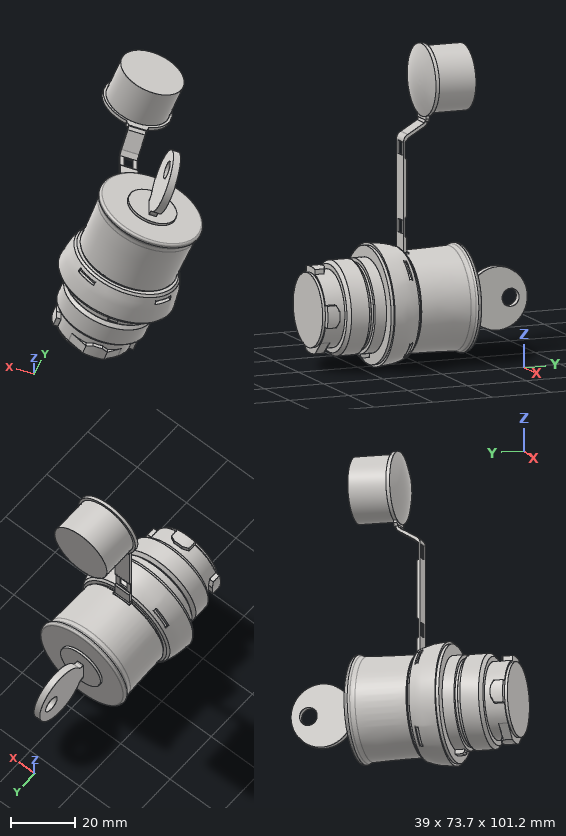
import cadquery as cq
import math


overall_height = 101.2

disk_end = 0.9
nose_end = 7.3
ring_end = 15.6
groove_end = 16.4
collar_end = 20.2
rim_end = 21.2
bezel_end = 31.0
relief_end = 31.7
barrel_end = 48.1
neck_end = 49.8
lip_start = 50.5
lip_end = 51.7
plate_end = 52.5

disk_radius = 11.8
nose_radius = 12.3
ring_radius = 15.1
ring_chamfer = 1.1
groove_radius = 13.9
rim_radius = 18.7
bezel_radius = 19.5
bezel_back_radius = 17.7
bezel_back_chamfer = 0.7
relief_radius = 15.7
barrel_front_radius = 16.2
barrel_mid_radius = 16.3
barrel_back_radius = 16.6
neck_curve = 5.1
neck_radius = 16.9
lip_radius = 17.3
lip_fillet = 0.7
plate_radius = 8.1

lug_radius = 13.9
lug_half_width = 3.5
lug_tip_half_width = 1.6
lug_shoulder = 3.9
lug_end = 5.0

locator_width = 2.8
locator_front = 17.2
locator_depth = 16.4
locator_chamfer = 0.6

notch_length = 7.1
notch_width = 1.1
notch_center = 28.5
notch_floor = 17.2
notch_height = 3.0

key_thickness = 2.4
key_drop = 1.1
key_bow_radius = 10.1
key_tip = 73.7
key_bow_center = key_tip - key_bow_radius
key_hole_radius = 2.8
key_hole_center = 68.1
key_neck_half_width = 3.6
key_neck_end = 54.0
key_flank_angle = 42
key_neck_fillet = 2.0

cap_radius = 11.5
cap_height = overall_height - bezel_radius - cap_radius
cap_plug_radius = 10.6
cap_back = 52.4
flange_back = 39.7
flange_front = 38.4
dome_tip = 35.9

strap_width = 5.9
strap_front = 31.2
strap_back = relief_end
strap_bend_low = 51.4
strap_bend_high = 53.7
strap_bend_bulge = 0.3
slope_front_low = 32.6
slope_front_high = 38.1
slope_top = 56.9
slope_thickness = 1.1
hook_top = 57.9
flare_width = 7.2
flare_bottom = 56.7
flare_cut_off = 57.3
flare_top = 58.3
window_width = 2.8
window_height = 4.1
window_bottoms = (22.2, 47.0)
pad_back = 32.3
pad_chamfer = 0.5
pad_spans = ((0, 21.4), (27.2, 46.3))
foot_width = 6.7
foot_back = 32.8
foot_top = 16.3


def turned(outline):
    """Revolve an outline of (radius, y) about the Y axis."""
    return outline.close().revolve(360, (0, 0, 0), (0, 1, 0))


def block(width, y_start, y_stop, z_start, z_stop):
    """Box centred on x = 0."""
    return cq.Workplane("XY").box(width, y_stop - y_start, z_stop - z_start).translate(
        (0, (y_start + y_stop) / 2, (z_start + z_stop) / 2)
    )


def switch_body():
    """Turned body: nose, ring, groove, collar, bezel, waisted barrel, lip and key plate."""
    ring_edge = ring_radius - ring_chamfer
    bezel_arc_end = bezel_end - bezel_back_chamfer
    bezel_drop = bezel_radius - bezel_back_radius
    bezel_curve = ((bezel_arc_end - rim_end) ** 2 + bezel_drop**2) / (2 * bezel_drop)
    outline = (
        cq.Workplane("XY")
        .moveTo(0, 0)
        .lineTo(disk_radius, 0)
        .lineTo(disk_radius, disk_end)
        .lineTo(nose_radius, disk_end)
        .lineTo(nose_radius, nose_end)
        .lineTo(ring_edge, nose_end)
        .lineTo(ring_radius, nose_end + ring_chamfer)
        .lineTo(ring_radius, ring_end - ring_chamfer)
        .lineTo(ring_edge, ring_end)
        .lineTo(groove_radius, ring_end)
        .lineTo(groove_radius, groove_end)
        .lineTo(ring_radius, groove_end)
        .lineTo(ring_radius, collar_end)
        .lineTo(rim_radius, collar_end)
        .lineTo(rim_radius, rim_end)
        .lineTo(bezel_radius, rim_end)
        .radiusArc((bezel_back_radius, bezel_arc_end), -bezel_curve)
        .lineTo(bezel_back_radius - bezel_back_chamfer, bezel_end)
        .lineTo(relief_radius, bezel_end)
        .lineTo(relief_radius, relief_end)
        .lineTo(barrel_front_radius, relief_end)
        .threePointArc(
            (barrel_mid_radius, (relief_end + barrel_end) / 2),
            (barrel_back_radius, barrel_end),
        )
        .radiusArc((neck_radius, neck_end), neck_curve)
        .lineTo(lip_radius, lip_start)
        .lineTo(lip_radius, lip_end - lip_fillet)
        .radiusArc((lip_radius - lip_fillet, lip_end), -lip_fillet)
        .lineTo(plate_radius, lip_end)
        .lineTo(plate_radius, plate_end)
        .lineTo(0, plate_end)
    )
    return turned(outline)


def bayonet_lugs():
    """Four equal lugs with tapered backs, a quarter turn apart."""
    tapered = (
        cq.Workplane("XY")
        .polyline(
            [
                (-lug_half_width, disk_end),
                (lug_half_width, disk_end),
                (lug_half_width, lug_shoulder),
                (lug_tip_half_width, lug_end),
                (-lug_tip_half_width, lug_end),
                (-lug_half_width, lug_shoulder),
            ]
        )
        .close()
        .extrude(bezel_radius)
    )
    envelope = cq.Workplane("XZ").circle(lug_radius).extrude(-lug_end)
    lug = tapered.intersect(envelope)
    lugs = lug
    for angle in (90, 180, 270):
        lugs = lugs.union(lug.rotate((0, 0, 0), (0, 1, 0), angle))
    return lugs


def bottom_wedge():
    """Web whose flanks run tangent from the nose to the corners of the bottom lug."""
    corner_angle = math.asin(lug_half_width / lug_radius)
    tangent_angle = corner_angle + math.acos(nose_radius / lug_radius)
    corner_z = -lug_radius * math.cos(corner_angle)
    tangent_x = nose_radius * math.sin(tangent_angle)
    tangent_z = -nose_radius * math.cos(tangent_angle)
    return (
        cq.Workplane("XZ", origin=(0, disk_end, 0))
        .polyline(
            [
                (0, 0),
                (tangent_x, tangent_z),
                (lug_half_width, corner_z),
                (-lug_half_width, corner_z),
                (-tangent_x, tangent_z),
            ]
        )
        .close()
        .extrude(disk_end - lug_shoulder)
    )


def locator():
    """Small block under the collar with its lower front edge chamfered."""
    tongue = block(locator_width, locator_front, collar_end, -locator_depth, 0)
    return tongue.faces("<Y").edges("<Z").chamfer(locator_chamfer)


def bezel_notches():
    """Four short tangential slots midway between the upright and level axes."""
    notch = block(
        notch_length,
        notch_center - notch_width / 2,
        notch_center + notch_width / 2,
        notch_floor,
        notch_floor + notch_height,
    )
    notches = cq.Workplane("XY")
    for angle in (45, 135, 225, 315):
        notches = notches.add(notch.rotate((0, 0, 0), (0, 1, 0), angle))
    return notches.combine()


def key():
    """Flat key: round bow with a hole, straight flanks and a narrow neck."""
    flank_y = key_bow_center - key_bow_radius * math.cos(math.radians(key_flank_angle))
    flank_z = key_bow_radius * math.sin(math.radians(key_flank_angle))
    side = cq.Workplane("YZ", origin=(-key_thickness / 2, 0, -key_drop))
    bow = side.center(key_bow_center, 0).circle(key_bow_radius).extrude(key_thickness)
    neck = (
        side.polyline(
            [
                (lip_end, -key_neck_half_width),
                (key_neck_end, -key_neck_half_width),
                (flank_y, -flank_z),
                (key_bow_center, 0),
                (flank_y, flank_z),
                (key_neck_end, key_neck_half_width),
                (lip_end, key_neck_half_width),
            ]
        )
        .close()
        .extrude(key_thickness)
    )
    for corner_z in (-key_drop - key_neck_half_width, -key_drop + key_neck_half_width):
        corner = cq.selectors.NearestToPointSelector((0, key_neck_end, corner_z))
        neck = neck.edges("|X").edges(corner).fillet(key_neck_fillet)
    hole = side.center(key_hole_center, 0).circle(key_hole_radius).extrude(key_thickness)
    return bow.union(neck).cut(hole)


def dust_cap():
    """Round plug with a thin flange and a domed front."""
    dome_rise = flange_front - dome_tip
    dome_curve = (cap_radius**2 + dome_rise**2) / (2 * dome_rise)
    outline = (
        cq.Workplane("XY")
        .moveTo(0, cap_back)
        .lineTo(cap_plug_radius, cap_back)
        .lineTo(cap_plug_radius, flange_back)
        .lineTo(cap_radius, flange_back)
        .lineTo(cap_radius, flange_front)
        .radiusArc((0, dome_tip), dome_curve)
    )
    return turned(outline).translate((0, 0, cap_height))


def strap_band():
    """Thin upright band that slopes back at the top and thickens up to the cap flange."""
    slope_angle = math.atan2(slope_top - strap_bend_high, slope_front_high - slope_front_low)
    back_y = slope_thickness * math.sin(slope_angle)
    back_z = slope_thickness * math.cos(slope_angle)
    bend_y = (strap_front + slope_front_low) / 2
    bend_z = (strap_bend_low + strap_bend_high) / 2
    return (
        cq.Workplane("YZ", origin=(-strap_width / 2, 0, 0))
        .moveTo(strap_front, 0)
        .lineTo(strap_front, strap_bend_low)
        .threePointArc(
            (bend_y - strap_bend_bulge, bend_z + strap_bend_bulge),
            (slope_front_low, strap_bend_high),
        )
        .lineTo(slope_front_high, slope_top)
        .lineTo(flange_front, hook_top)
        .lineTo(flange_front, cap_height)
        .lineTo(flange_back, cap_height)
        .lineTo(flange_back, hook_top)
        .lineTo(slope_front_high + back_y, slope_top - back_z)
        .lineTo(slope_front_low + back_y, strap_bend_high - back_z)
        .lineTo(strap_back, strap_bend_low)
        .lineTo(strap_back, 0)
        .close()
        .extrude(strap_width)
    )


def strap_flare():
    """Concave widening where the band meets the cap flange."""
    half = strap_width / 2
    half_wide = flare_width / 2
    inset = (half_wide - half) / 4
    middle = (flare_bottom + flare_top) / 2
    flare = (
        cq.Workplane("XZ", origin=(0, flange_front, 0))
        .moveTo(half, flare_bottom)
        .threePointArc((half + inset, middle), (half_wide, flare_top))
        .lineTo(half_wide, cap_height)
        .lineTo(-half_wide, cap_height)
        .lineTo(-half_wide, flare_top)
        .threePointArc((-half - inset, middle), (-half, flare_bottom))
        .close()
        .extrude(flange_front - flange_back)
    )
    upper_band = block(flare_width, flange_front, flange_back, flare_cut_off, cap_height)
    return flare.intersect(upper_band)


def strap():
    """Band with stiffening pads behind it, a foot at the bezel and two windows."""
    band = strap_band().union(strap_flare())
    for bottom, top in pad_spans:
        pad = block(strap_width, strap_back, pad_back, bottom, top)
        band = band.union(pad.faces(">Y").edges("|X").chamfer(pad_chamfer))
    band = band.union(block(foot_width, strap_front, foot_back, 0, foot_top))
    for bottom in window_bottoms:
        band = band.cut(block(window_width, strap_front, pad_back, bottom, bottom + window_height))
    return band


result = switch_body().cut(bezel_notches())
for feature in (bayonet_lugs(), bottom_wedge(), locator(), key(), strap(), dust_cap()):
    result = result.union(feature)